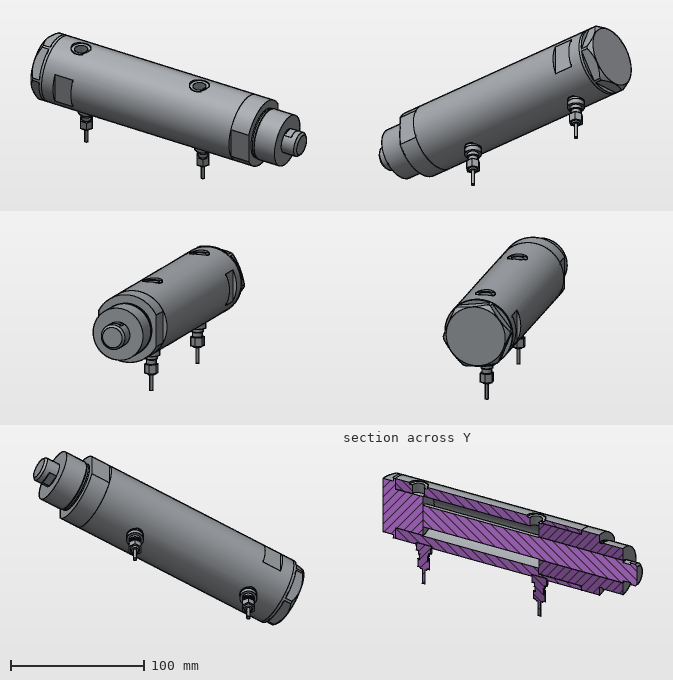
import cadquery as cq
import math


body_radius = 26.0
across_flats = 46.0
flat_length = 15.3
total_length = 219.02
bore_radius = 17.0
rod_radius = 9.5

cap_hex_length = 8.7
cap_length = 10.9
cap_plug_end = 34.7
cap_rotation = 8.0
cap_chamfer = 3.2

barrel_end = 171.1
barrel_flat_start = 20.7
port_positions = (30.5, 131.7)
port_radius = 5.0
port_face_radius = 7.5
port_face_z = 24.5

head_spigot_start = 134.0
head_spigot_radius = 22.0
head_shoulder = barrel_end + flat_length
nose_radius = 20.0
nose_end = 206.7
groove_radius = 19.2
groove_entry_radius = 19.6
groove_entry_length = 0.9
groove_floor_length = 1.3
groove_exit_length = nose_radius - groove_radius

rod_chamfer = 1.7
rod_flat_across = 16.0
rod_flat_length = 6.1

sensor_positions = (35.0, 134.6)
sensor_ring_radius = 6.5
sensor_seat_z = -24.5
sensor_ring_bottom = -27.1
sensor_collar_radius = 6.35
sensor_collar_bottom = -31.1
sensor_body_radius = 4.5
sensor_body_bottom = -33.9
sensor_neck_radius = 3.8
sensor_neck_bottom = -38.0
sensor_neck_chamfer = 0.5
sensor_nut_across_flats = 9.0
sensor_nut_bottom = -44.8
sensor_cone_top_radius = 3.5
sensor_cone_end_radius = 2.6
sensor_cone_bottom = -46.0
cable_radius = 1.25
cable_bottom = -58.3

AXIS_START = (0, 0, 0)
AXIS_END = (1, 0, 0)


def x_cylinder(radius, start, end):
    """Round bar on the X axis from x = start to x = end."""
    return cq.Workplane("YZ", origin=(start, 0, 0)).circle(radius).extrude(end - start)


def z_cylinder(x, radius, bottom, top):
    """Upright round bar at the given x."""
    return cq.Workplane("XY", origin=(x, 0, bottom)).circle(radius).extrude(top - bottom)


def wrench_flats(start):
    """The two pieces that a pair of wrench flats removes from the body's -Y and +Y sides."""
    blank = x_cylinder(2 * body_radius, start, start + flat_length)
    slab = cq.Workplane("XY").box(2 * total_length, across_flats, 4 * body_radius)
    return blank.cut(slab)


def make_cap():
    corner_diameter = across_flats / math.cos(math.pi / 6)
    hexagon = cq.Workplane("YZ").polygon(6, corner_diameter).extrude(cap_hex_length)
    hexagon = hexagon.rotate(AXIS_START, AXIS_END, -cap_rotation)
    blank = x_cylinder(body_radius, 0, cap_hex_length).faces("<X").chamfer(cap_chamfer)
    flange = x_cylinder(body_radius, cap_hex_length, cap_length)
    plug = x_cylinder(bore_radius, cap_length, cap_plug_end)
    return hexagon.intersect(blank).union(flange).union(plug)


def make_barrel():
    barrel = x_cylinder(body_radius, cap_length, barrel_end)
    barrel = barrel.cut(x_cylinder(bore_radius, cap_length, barrel_end))
    barrel = barrel.cut(x_cylinder(head_spigot_radius, head_spigot_start, barrel_end))
    barrel = barrel.cut(wrench_flats(barrel_flat_start))
    for x in port_positions:
        barrel = barrel.cut(z_cylinder(x, port_radius, 0, body_radius))
        barrel = barrel.cut(z_cylinder(x, port_face_radius, port_face_z, body_radius))
    for x in sensor_positions:
        barrel = barrel.cut(z_cylinder(x, sensor_ring_radius, -body_radius, sensor_seat_z))
    return barrel


def make_head():
    floor_start = head_shoulder + groove_entry_length
    floor_end = floor_start + groove_floor_length
    nose_start = floor_end + groove_exit_length
    half_profile = [
        (head_spigot_start, rod_radius),
        (head_spigot_start, head_spigot_radius),
        (barrel_end, head_spigot_radius),
        (barrel_end, body_radius),
        (head_shoulder, body_radius),
        (head_shoulder, groove_entry_radius),
        (floor_start, groove_radius),
        (floor_end, groove_radius),
        (nose_start, nose_radius),
        (nose_end, nose_radius),
        (nose_end, rod_radius),
    ]
    head = cq.Workplane("XZ").polyline(half_profile).close().revolve(360, AXIS_START, AXIS_END)
    return head.cut(wrench_flats(barrel_end))


def make_rod():
    rod = x_cylinder(rod_radius, cap_plug_end, total_length).faces(">X").chamfer(rod_chamfer)
    flat_depth = rod_radius - rod_flat_across / 2
    for side in (1, -1):
        cutter = cq.Workplane("XY").box(rod_flat_length, 2 * rod_radius, flat_depth)
        middle_x = nose_end + rod_flat_length / 2
        middle_z = side * (rod_flat_across / 2 + flat_depth / 2)
        rod = rod.cut(cutter.translate((middle_x, 0, middle_z)))
    return rod


def make_sensor(x):
    sections = [
        (sensor_ring_radius, sensor_seat_z, sensor_ring_bottom),
        (sensor_collar_radius, sensor_ring_bottom, sensor_collar_bottom),
        (sensor_body_radius, sensor_collar_bottom, sensor_body_bottom),
    ]
    nut_corner_diameter = sensor_nut_across_flats / math.cos(math.pi / 6)
    nut = cq.Workplane("XY", origin=(x, 0, sensor_nut_bottom)).polygon(6, nut_corner_diameter)
    sensor = nut.extrude(sensor_neck_bottom - sensor_nut_bottom)
    cone = cq.Solid.makeCone(
        sensor_cone_top_radius,
        sensor_cone_end_radius,
        sensor_nut_bottom - sensor_cone_bottom,
        cq.Vector(x, 0, sensor_nut_bottom),
        cq.Vector(0, 0, -1),
    )
    sensor = sensor.union(cq.Workplane(cone))
    for radius, top, bottom in sections:
        sensor = sensor.union(z_cylinder(x, radius, bottom, top))
    neck = z_cylinder(x, sensor_neck_radius, sensor_neck_bottom, sensor_body_bottom)
    sensor = sensor.union(neck.faces("|Z").chamfer(sensor_neck_chamfer))
    return sensor.union(z_cylinder(x, cable_radius, cable_bottom, sensor_cone_bottom))


cap = make_cap()
barrel = make_barrel()
head = make_head()
rod = make_rod()
sensors = [make_sensor(x) for x in sensor_positions]

result = cq.Compound.makeCompound(
    [cap.val(), barrel.val(), head.val(), rod.val(), *[sensor.val() for sensor in sensors]]
)